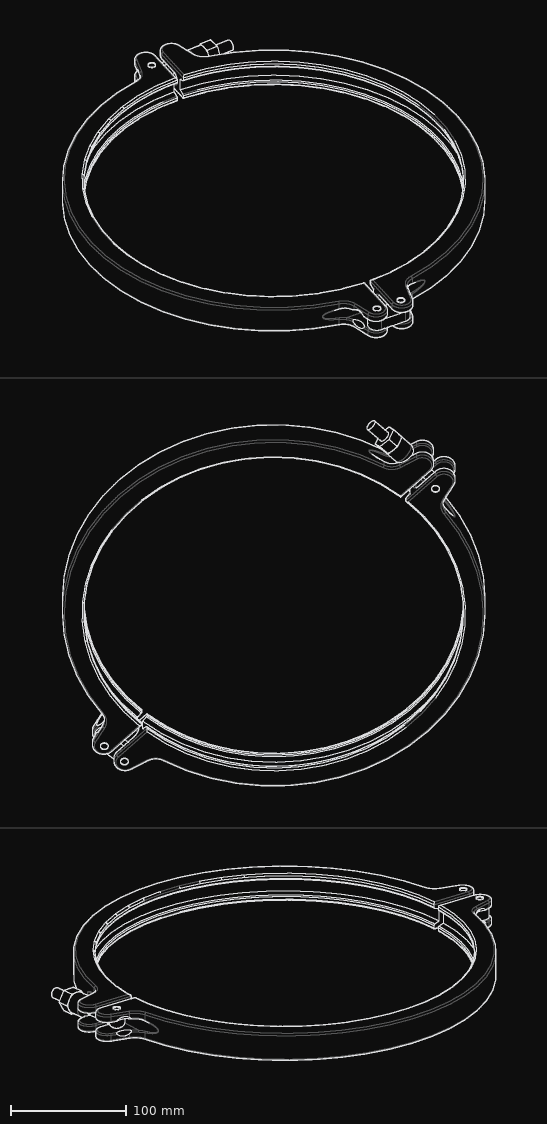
import cadquery as cq
import math

tolerance = 0.005

ring_outer_radius = 183.0
ring_inner_radius = 164.5
ring_height = 25.5
half_gap = 3.0
edge_round = 1.5
half_height = ring_height / 2

groove_floor_radius = 170.0
groove_mouth_half_height = 7.5
groove_wall_angle = 20.0
lip_round = 1.3
groove_depth = groove_floor_radius - ring_inner_radius
groove_floor_half_height = groove_mouth_half_height - groove_depth * math.tan(math.radians(groove_wall_angle))

lug_tip_x = 212.5
lug_tip_radius = 9.8
lug_flank_angle = 15.0
lug_flank_length = 29.8
lug_root_x = 172.0
lug_root_round = 12.8
lug_center_x = lug_tip_x - lug_tip_radius
lug_center_y = half_gap + lug_tip_radius

slot_height = 10.5
slot_inner_x = 176.0
slot_length = 68.0
slot_edge_round = 1.3
slot_radius = slot_height / 2
slot_end_x = slot_inner_x + slot_radius

pin_radius = 3.5
pin_dome_height = 1.0
hinge_pin_x = lug_center_x
hinge_pin_y = 12.0
bolt_pin_x = -192.0
bolt_pin_y = -12.8

link_radius = 8.0

bolt_tilt = 3.5
eye_radius = 7.2
shank_radius = 4.9
shank_end = 81.0
washer_radius = 9.8
washer_start = 34.0
washer_round = 7.0
nut_start = 53.5
nut_end = 64.0
nut_across_flats = 19.0
nut_across_corners = nut_across_flats / math.cos(math.pi / 6)


def lug(side):
    """Solid lug of the upper half; side is +1 at +X and -1 at -X."""
    flank = math.radians(lug_flank_angle)

    def tip_point(angle):
        return (
            side * (lug_center_x + lug_tip_radius * math.cos(angle)),
            lug_center_y + lug_tip_radius * math.sin(angle),
        )

    flank_start = tip_point(math.pi / 2 - flank)
    flank_end = (
        flank_start[0] - side * lug_flank_length * math.cos(flank),
        flank_start[1] + lug_flank_length * math.sin(flank),
    )
    return (
        cq.Workplane("XY")
        .workplane(offset=-half_height)
        .moveTo(side * lug_root_x, half_gap)
        .lineTo(side * lug_center_x, half_gap)
        .threePointArc(tip_point(0), flank_start)
        .lineTo(*flank_end)
        .close()
        .extrude(ring_height)
    )


def groove_cutter():
    """Ring with a trapezoid section that cuts the V-groove; it starts one groove depth inside the bore."""
    inside = ring_inner_radius - groove_depth
    inside_half_height = 2 * groove_mouth_half_height - groove_floor_half_height
    return (
        cq.Workplane("XZ")
        .polyline([
            (inside, -inside_half_height),
            (groove_floor_radius, -groove_floor_half_height),
            (groove_floor_radius, groove_floor_half_height),
            (inside, inside_half_height),
        ])
        .close()
        .revolve(360, (0, 0, 0), (0, 1, 0))
    )


def slot_cutter(side):
    """Slot along Y with a round inner end, open towards the lug tip."""
    round_end = (
        cq.Workplane("XZ")
        .center(side * slot_end_x, 0)
        .circle(slot_radius)
        .extrude(-slot_length)
    )
    reach = lug_tip_x - slot_end_x
    opening = cq.Workplane("XY").box(reach, slot_length, slot_height).translate(
        (side * (slot_end_x + reach / 2), slot_length / 2, 0)
    )
    return round_end.union(opening)


def lies_on(height):
    """Edge test: the edge is level, at this height above or below the mid-plane."""
    def test(edge):
        box = edge.BoundingBox()
        return box.zlen < tolerance and abs(abs(box.center.z) - height) < tolerance
    return test


def half_ring():
    """Upper clamp half without pin holes; both lugs carry a washer seat."""
    width = 2 * lug_tip_x
    upper_space = cq.Workplane("XY").box(width, width, width).translate((0, width / 2 + half_gap, 0))
    body = (
        cq.Workplane("XY")
        .workplane(offset=-half_height)
        .circle(ring_outer_radius)
        .circle(ring_inner_radius)
        .extrude(ring_height)
        .intersect(upper_space)
    )
    for side in (1, -1):
        body = body.union(lug(side))

    roots = cq.selectors.BoxSelector(
        (-lug_center_x, 2 * lug_tip_radius, -ring_height),
        (lug_center_x, ring_inner_radius, ring_height),
    )
    body = body.edges("|Z").edges(roots).fillet(lug_root_round)
    body = body.faces("<Z or >Z").edges().fillet(edge_round)

    body = body.cut(groove_cutter())
    groove_lips = body.edges().filter(lies_on(groove_mouth_half_height))
    body = groove_lips.fillet(lip_round)

    for side in (1, -1):
        body = body.cut(slot_cutter(side))
    slot_edges = body.edges().filter(lies_on(slot_radius))
    body = slot_edges.fillet(slot_edge_round)

    seat = bolt_washer()
    return body.cut(seat).cut(seat.mirror("YZ"))


def pin(x, y):
    """Full-height pin with a shallow dome on both ends."""
    rim_height = half_height - pin_dome_height
    return (
        cq.Workplane("XZ")
        .moveTo(0, -half_height)
        .threePointArc(dome_middle(-1), (pin_radius, -rim_height))
        .lineTo(pin_radius, rim_height)
        .threePointArc(dome_middle(1), (0, half_height))
        .close()
        .revolve(360, (0, 0, 0), (0, 1, 0))
        .translate((x, y, 0))
    )


def dome_middle(side):
    """Middle of the arc of a pin dome, on the upper (+1) or lower (-1) end."""
    dome_radius = (pin_radius ** 2 + pin_dome_height ** 2) / (2 * pin_dome_height)
    half_angle = math.asin(pin_radius / dome_radius) / 2
    drop = dome_radius * (1 - math.cos(half_angle))
    return dome_radius * math.sin(half_angle), side * (half_height - drop)


def pin_hole(x, y):
    """Cutter for a pin hole through both plates of a lug."""
    return cq.Workplane("XY").circle(pin_radius).extrude(ring_height).translate((x, y, -half_height))


def along_bolt(solid):
    """Move a solid from the Y axis onto the tilted bolt axis."""
    return solid.rotate((0, 0, 0), (0, 0, 1), bolt_tilt).translate((bolt_pin_x, bolt_pin_y, 0))


def bolt_washer():
    """Washer with a rounded nose that sits in a matching seat of the upper lug."""
    washer = (
        cq.Workplane("XZ", origin=(0, washer_start, 0))
        .circle(washer_radius)
        .extrude(washer_start - nut_start)
        .faces("<Y")
        .edges()
        .fillet(washer_round)
    )
    return along_bolt(washer)


def swing_bolt():
    """Eye bolt with its pin, washer and nut; the rim of the eye is fully rounded."""
    eye_flat_radius = eye_radius - slot_radius
    eye = (
        cq.Workplane("XZ")
        .moveTo(0, -slot_radius)
        .lineTo(eye_flat_radius, -slot_radius)
        .threePointArc((eye_radius, 0), (eye_flat_radius, slot_radius))
        .lineTo(0, slot_radius)
        .close()
        .revolve(360, (0, 0, 0), (0, 1, 0))
    )
    shank = cq.Workplane("XZ").circle(shank_radius).extrude(-shank_end)
    nut = (
        cq.Workplane("XZ", origin=(0, nut_start, 0))
        .polygon(6, nut_across_corners)
        .extrude(nut_start - nut_end)
    )
    bolt = along_bolt(eye.union(shank).union(nut))
    return bolt.union(bolt_washer()).union(pin(bolt_pin_x, bolt_pin_y))


def hinge_link():
    """Round-ended link between the +X lugs."""
    return (
        cq.Workplane("XY")
        .workplane(offset=-slot_radius)
        .center(hinge_pin_x, 0)
        .slot2D(2 * (hinge_pin_y + link_radius), 2 * link_radius, 90)
        .extrude(slot_height)
    )


upper_half = half_ring().cut(pin_hole(hinge_pin_x, hinge_pin_y))

lower_half = (
    half_ring()
    .mirror("XZ")
    .cut(pin_hole(bolt_pin_x, bolt_pin_y))
    .cut(pin_hole(hinge_pin_x, -hinge_pin_y))
    .union(hinge_link())
    .union(pin(hinge_pin_x, hinge_pin_y))
    .union(pin(hinge_pin_x, -hinge_pin_y))
)

bolt = swing_bolt()

result = cq.Compound.makeCompound([
    upper_half.solids().val(),
    lower_half.solids().val(),
    bolt.solids().val(),
])